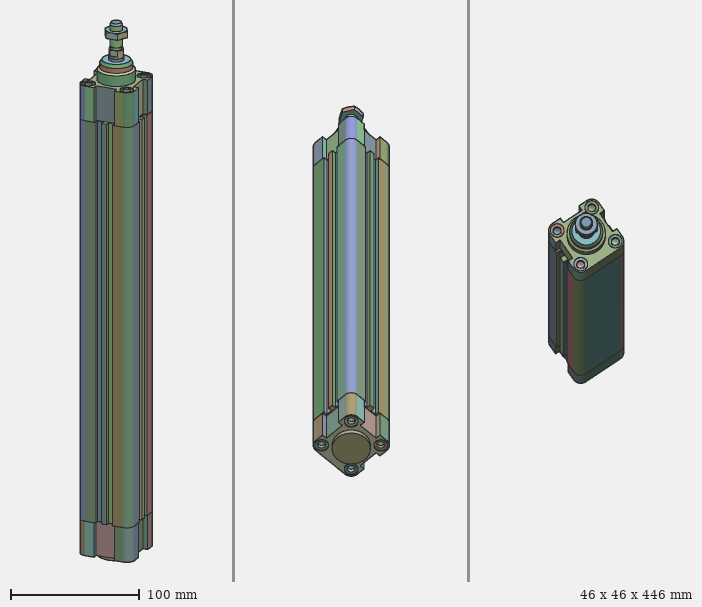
import cadquery as cq
import math

SIDE = 46.0
CORNER_RADIUS = 6.5

LENGTH = 446.0
CAP_LENGTH = 29.0
REAR_CAP_BOTTOM = 4.0
REAR_CAP_TOP = REAR_CAP_BOTTOM + CAP_LENGTH
FRONT_CAP_TOP = 398.0
FRONT_CAP_BOTTOM = FRONT_CAP_TOP - CAP_LENGTH

GROOVED_SIDE_ANGLES = (-90, 0, 90)
RECESS_WIDTH = 17.5
RECESS_DEPTH = 4.25
SLOT_INNER = 2.2
SLOT_OUTER = 7.0
SLOT_DEPTH = 3.35

HOLE_SPACING = 32.5
HOLE_DIAMETER = 6.2
HOLE_DEPTH = 4.5
DRILL_TIP_ANGLE = 118
COUNTERBORE_DIAMETER = 10.5
COUNTERBORE_DEPTH = 1.0

COLLAR_DIAMETER = 30.0
COLLAR_TOP = 406.8
COLLAR_CONE_HEIGHT = 1.5
GLAND_DIAMETER = 26.0
GLAND_TOP = 415.0
GLAND_CHAMFER_WIDTH = 2.0
GLAND_CHAMFER_HEIGHT = 2.5

ROD_DIAMETER = 12.0
ROD_END_DIAMETER = 11.5
ROD_END_BOTTOM = 417.0
ROD_TOP = 423.5
FLAT_WIDTH = 10.0
FLAT_LENGTH = 5.0
NECK_DIAMETER = 9.0
THREAD_DIAMETER = 10.0
THREAD_BOTTOM = 426.0
THREAD_CHAMFER_WIDTH = 1.0
THREAD_CHAMFER_HEIGHT = 2.0

NUT_ACROSS_FLATS = 17.0
NUT_ACROSS_CORNERS = NUT_ACROSS_FLATS / math.cos(math.pi / 6)
NUT_BOTTOM = 434.5
NUT_HEIGHT = 5.5
NUT_CHAMFER_ANGLE = 30


def cylinder(diameter, bottom, top):
    return cq.Workplane("XY").workplane(offset=bottom).circle(diameter / 2).extrude(top - bottom)


def turned(profile):
    """Solid of revolution about Z from a list of (radius, height) points."""
    return cq.Workplane("XZ").polyline(profile).close().revolve(360, (0, 0), (0, 1))


def rounded_block(bottom, top):
    block = cq.Workplane("XY").workplane(offset=bottom).rect(SIDE, SIDE).extrude(top - bottom)
    return block.edges("|Z").fillet(CORNER_RADIUS)


def cut_grooves(body, start, end, depth, bottom, top):
    """Cut a groove from X = start to X = end into the -Y side, repeated on the -X and +X sides."""
    groove = cq.Workplane("XY").box(end - start, depth, top - bottom, centered=False)
    groove = groove.translate((start, -SIDE / 2, bottom))
    for angle in GROOVED_SIDE_ANGLES:
        body = body.cut(groove.rotate((0, 0, 0), (0, 0, 1), angle))
    return body


def make_mounting_holes(face_height, inward):
    """Four blind counterbored holes with conical bottoms; inward is +1 for up and -1 for down."""
    hole_radius = HOLE_DIAMETER / 2
    counterbore_radius = COUNTERBORE_DIAMETER / 2
    tip_depth = hole_radius / math.tan(math.radians(DRILL_TIP_ANGLE / 2))
    hole = turned([
        (0, 0),
        (counterbore_radius, 0),
        (counterbore_radius, inward * COUNTERBORE_DEPTH),
        (hole_radius, inward * COUNTERBORE_DEPTH),
        (hole_radius, inward * HOLE_DEPTH),
        (0, inward * (HOLE_DEPTH + tip_depth)),
    ]).val()
    centers = cq.Workplane("XY").workplane(offset=face_height).rect(HOLE_SPACING, HOLE_SPACING).vertices()
    return centers.eachpoint(lambda place: hole.moved(place))


def make_cap_block(bottom, top):
    half_width = RECESS_WIDTH / 2
    return cut_grooves(rounded_block(bottom, top), -half_width, half_width, RECESS_DEPTH, bottom, top)


def make_front_cap():
    cap = make_cap_block(FRONT_CAP_BOTTOM, FRONT_CAP_TOP)
    cap = cap.cut(make_mounting_holes(FRONT_CAP_TOP, -1))
    collar_radius = COLLAR_DIAMETER / 2
    gland_radius = GLAND_DIAMETER / 2
    collar_and_gland = turned([
        (0, FRONT_CAP_TOP),
        (collar_radius, FRONT_CAP_TOP),
        (collar_radius, COLLAR_TOP),
        (gland_radius, COLLAR_TOP + COLLAR_CONE_HEIGHT),
        (gland_radius, GLAND_TOP - GLAND_CHAMFER_HEIGHT),
        (gland_radius - GLAND_CHAMFER_WIDTH, GLAND_TOP),
        (0, GLAND_TOP),
    ])
    rod_bore = cylinder(ROD_DIAMETER, FRONT_CAP_BOTTOM, GLAND_TOP)
    return cap.union(collar_and_gland).cut(rod_bore)


def make_rear_cap():
    cap = make_cap_block(REAR_CAP_BOTTOM, REAR_CAP_TOP)
    cap = cap.cut(make_mounting_holes(REAR_CAP_BOTTOM, 1))
    return cap.union(cylinder(COLLAR_DIAMETER, 0, REAR_CAP_BOTTOM))


def make_tube():
    """Profile tube with a pair of slots, one each side of a central rib, on each grooved side."""
    tube = rounded_block(REAR_CAP_TOP, FRONT_CAP_BOTTOM)
    for start, end in ((-SLOT_OUTER, -SLOT_INNER), (SLOT_INNER, SLOT_OUTER)):
        tube = cut_grooves(tube, start, end, SLOT_DEPTH, REAR_CAP_TOP, FRONT_CAP_BOTTOM)
    return tube


def make_rod():
    shank = cylinder(ROD_DIAMETER, FRONT_CAP_BOTTOM, ROD_END_BOTTOM)
    rod_end = cylinder(ROD_END_DIAMETER, ROD_END_BOTTOM, ROD_TOP)
    flat_cuts = cq.Workplane("XY").workplane(offset=ROD_TOP).rect(ROD_DIAMETER, ROD_DIAMETER)
    flat_cuts = flat_cuts.rect(ROD_DIAMETER, FLAT_WIDTH).extrude(-FLAT_LENGTH)
    neck = cylinder(NECK_DIAMETER, ROD_TOP, THREAD_BOTTOM)
    thread = cylinder(THREAD_DIAMETER, THREAD_BOTTOM, LENGTH)
    radius = THREAD_DIAMETER / 2
    chamfer_ring = turned([
        (radius, LENGTH - THREAD_CHAMFER_HEIGHT),
        (radius, LENGTH),
        (radius - THREAD_CHAMFER_WIDTH, LENGTH),
    ])
    return shank.union(rod_end.cut(flat_cuts)).union(neck).union(thread.cut(chamfer_ring))


def make_nut():
    nut = cq.Workplane("XY").workplane(offset=NUT_BOTTOM).polygon(6, NUT_ACROSS_CORNERS).extrude(NUT_HEIGHT)
    top_radius = NUT_ACROSS_FLATS / 2
    base_radius = top_radius + NUT_HEIGHT / math.tan(math.radians(NUT_CHAMFER_ANGLE))
    nut_top = NUT_BOTTOM + NUT_HEIGHT
    cone = turned([(0, NUT_BOTTOM), (base_radius, NUT_BOTTOM), (top_radius, nut_top), (0, nut_top)])
    return nut.intersect(cone).cut(cylinder(THREAD_DIAMETER, NUT_BOTTOM, nut_top))


tube = make_tube()
front_cap = make_front_cap()
rear_cap = make_rear_cap()
rod = make_rod()
nut = make_nut()

bodies = (tube, front_cap, rear_cap, rod, nut)
result = cq.Compound.makeCompound([body.solids().val() for body in bodies])